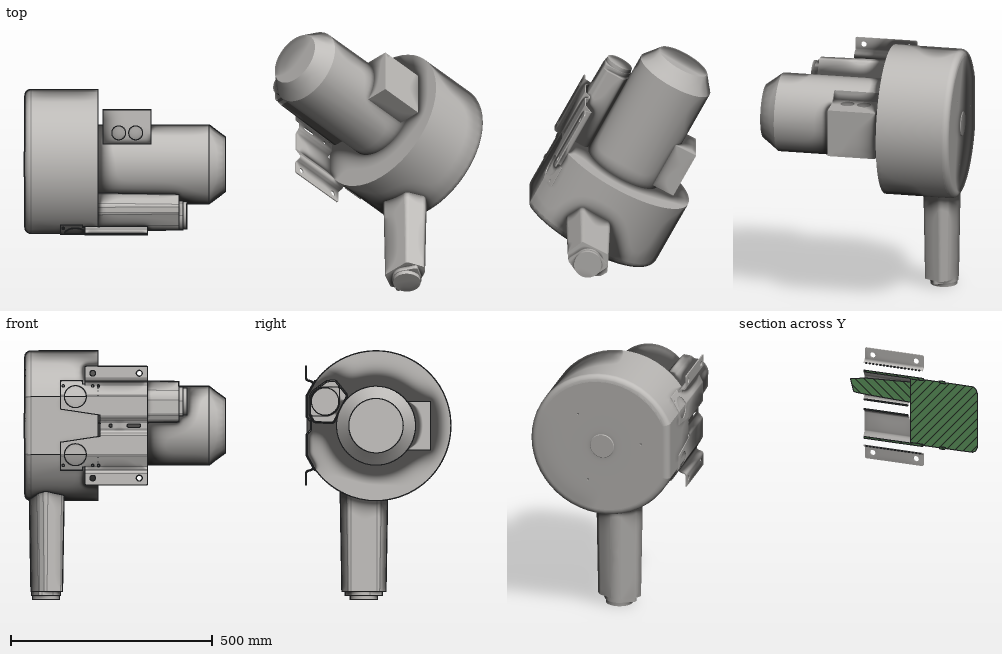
import cadquery as cq
import math


TOTAL_LENGTH = 500.0
TOTAL_DEPTH = 361.0
TOTAL_HEIGHT = 617.29

DRUM_R = 186.0
DRUM_LENGTH = 182.0
DRUM_FLAT_Y = -171.5
DRUM_EDGE_R = 16.0
FLAT_HALF_HEIGHT = math.sqrt(DRUM_R**2 - DRUM_FLAT_Y**2)

HUB_R = 31.0
HUB_HEIGHT = 2.0
HUB_EDGE = 1.5
SCREW_CIRCLE_R = 100.0
SCREW_FIRST_ANGLE = 51.5
SCREW_COUNT = 3
SCREW_HOLE_D = 6.0
SCREW_HOLE_DEPTH = 10.0

MOTOR_R = 98.0
MOTOR_END_X = TOTAL_LENGTH - HUB_HEIGHT
MOTOR_END_R = 67.5
MOTOR_TAPER_X = 457.5

BOX_X = 193.5
BOX_LENGTH = 120.0
BOX_Y = 50.5
BOX_WIDTH = 85.0
BOX_HALF_HEIGHT = 60.0
GLAND_D = 34.5
GLAND_DEPTH = 2.0
GLAND_FIRST_X = 233.0
GLAND_PITCH = 42.0
GLAND_COUNT = 2
GLAND_Y = 78.0

SHEET = 3.0
PLATE_STANDOFF = 2.0
PLATE_OUTER_Y = DRUM_FLAT_Y - PLATE_STANDOFF
PLATE_START_X = 89.0
PLATE_END_X = 305.0
FLANGE_START_X = 149.0
FLANGE_OUTER_Y = DRUM_R - TOTAL_DEPTH
FLANGE_TIP_Z = 147.5
FLANGE_CORNER_R = 4.0
LEG_OUTER_Z = 113.5
LEG_INNER_Z = 107.5
SLOPE_TIP_Y = -151.5
SLOPE_TIP_Z = 110.0
SHEET_BEND_R = 6.5
RELIEF_START_X = 143.0
RELIEF_Z = 103.0
RELIEF_DEPTH = 20.0
WEDGE_START_HALF = 41.0
WEDGE_END_HALF = 27.0
CHANNEL_START_X = 187.0
CHANNEL_MOUTH_HALF = 21.5
CHANNEL_DEPTH = 11.0
CHANNEL_FLOOR_HALF = CHANNEL_MOUTH_HALF - CHANNEL_DEPTH

PANEL_Y = PLATE_OUTER_Y + SHEET / 2
FLANGE_Y = FLANGE_OUTER_Y + SHEET / 2
SLOPE_BEND = (PANEL_Y, FLAT_HALF_HEIGHT + SHEET / 2)
SLOPE_TIP = (SLOPE_TIP_Y, SLOPE_TIP_Z)

PORT_D = 54.5
PORT_X = 125.5
FLANGE_HOLE_D = 14.0
FLANGE_HOLE_XS = (168.5, 284.0)
FLANGE_HOLE_Z = 130.0
PLATE_HOLE_D = 6.0
PLATE_HOLE_XS = (95.5, 168.5, 183.0)
PLATE_HOLE_Z = 98.5
CHANNEL_HOLE_D = 8.0
CHANNEL_HOLE_X = 213.0
SLOT_LENGTH = 34.0
SLOT_X = 270.5
PLATE_CUT_DEPTH = 60.0

SILENCER_TAPER = 1.0
NOSE_TIP = (-41.0, 0.0)
SHOULDER = (-17.5, 45.6)
SIDE = (-1.0, 56.0)
BACK = (41.3, 37.0)
NOSE_R = 28.0
SILENCER_CORNER_R = 8.0
COLLAR_LENGTH = 10.0
PIPE_R = 34.0
PIPE_LENGTH = 10.0

COLLAR_SIZE = 72.0
COLLAR_TURN = 27.0
COLLAR_BIG_R = 35.0
COLLAR_SMALL_R = 6.0

DOWN_X = 52.6
DOWN_Y = -30.0
DOWN_END_Z = DRUM_R - TOTAL_HEIGHT + COLLAR_LENGTH + PIPE_LENGTH
DOWN_INNER_Z = -100.0
REAR_END_X = 382.0
REAR_Y = -126.4
REAR_Z = 60.0
REAR_TILT = COLLAR_TURN


def drum():
    """Round drum with a flat on the -Y side and a rounded front edge."""
    blank = cq.Workplane("YZ").circle(DRUM_R).extrude(DRUM_LENGTH)
    waste = (
        cq.Workplane("XY")
        .box(DRUM_LENGTH, DRUM_R, 2 * DRUM_R, centered=(False, False, True))
        .translate((0, DRUM_FLAT_Y - DRUM_R, 0))
    )
    body = blank.cut(waste).faces("<X").edges().fillet(DRUM_EDGE_R)
    hub = cq.Workplane("YZ").circle(HUB_R).extrude(-HUB_HEIGHT).faces("<X").edges().chamfer(HUB_EDGE)
    screws = (
        cq.Workplane("YZ")
        .polarArray(SCREW_CIRCLE_R, SCREW_FIRST_ANGLE, 360, SCREW_COUNT)
        .circle(SCREW_HOLE_D / 2)
        .extrude(SCREW_HOLE_DEPTH)
    )
    return body.union(hub).cut(screws)


def motor():
    """Motor cylinder ending in a cone."""
    return (
        cq.Workplane("XY")
        .moveTo(DRUM_LENGTH, 0)
        .lineTo(DRUM_LENGTH, MOTOR_R)
        .lineTo(MOTOR_TAPER_X, MOTOR_R)
        .lineTo(MOTOR_END_X, MOTOR_END_R)
        .lineTo(MOTOR_END_X, 0)
        .close()
        .revolve(360, (0, 0, 0), (1, 0, 0))
    )


def box_block(bottom_z, top_z):
    """Block over the terminal box's footprint."""
    footprint = cq.Workplane("XY", origin=(BOX_X, BOX_Y, bottom_z))
    return footprint.rect(BOX_LENGTH, BOX_WIDTH, centered=False).extrude(top_z - bottom_z)


def gland_recesses():
    """Shallow round cable-gland recesses in the top of the terminal box."""
    centres = [(GLAND_FIRST_X + i * GLAND_PITCH, GLAND_Y) for i in range(GLAND_COUNT)]
    top = cq.Workplane("XY", origin=(0, 0, BOX_HALF_HEIGHT))
    return top.pushPoints(centres).circle(GLAND_D / 2).extrude(-GLAND_DEPTH)


def make_housing():
    """Drum, motor and terminal box; the motor is cleared above the box's level top."""
    clearance = box_block(BOX_HALF_HEIGHT, MOTOR_R)
    box = box_block(-BOX_HALF_HEIGHT, BOX_HALF_HEIGHT)
    return drum().union(motor().cut(clearance)).union(box).cut(gland_recesses())


def point_on_slope(z):
    """Point of the sloped panel's mid-surface at height z."""
    share = (z - SLOPE_BEND[1]) / (SLOPE_TIP[1] - SLOPE_BEND[1])
    return (SLOPE_BEND[0] + share * (SLOPE_TIP[0] - SLOPE_BEND[0]), z)


def sheet_strip(points, start_x, end_x):
    """Bent sheet with rounded bends along (y, z) mid-surface corners."""
    corners = [cq.Vector(start_x, y, z) for y, z in points]
    mid_line = cq.Wire.makePolygon(corners).fillet(SHEET_BEND_R)
    outline = mid_line.offset2D(SHEET / 2)[0]
    return cq.Workplane(cq.Solid.extrudeLinear(outline, [], cq.Vector(end_x - start_x, 0, 0)))


def mirrored(half):
    """The given +Z half of a mid-surface, continued to its mirror image."""
    return [(y, -z) for y, z in reversed(half)] + half


def plate_sketch(x=0.0):
    """Workplane in front of the plate, with sketch axes X and Z."""
    return cq.Workplane("XZ", origin=(x, FLANGE_OUTER_Y - SHEET, 0))


def through_plate(sketch):
    """Prism of a plate sketch, running towards +Y through the whole plate."""
    return sketch.extrude(-PLATE_CUT_DEPTH)


def bent_sheet():
    """Channel, panels, slopes and flanges, with two tongues reaching over the drum."""
    channel = [(PANEL_Y + CHANNEL_DEPTH, CHANNEL_FLOOR_HALF), (PANEL_Y, CHANNEL_MOUTH_HALF)]
    flange = [
        point_on_slope(LEG_INNER_Z),
        (FLANGE_Y, LEG_OUTER_Z),
        (FLANGE_Y, FLANGE_TIP_Z + SHEET),
    ]
    length = PLATE_END_X - FLANGE_START_X
    rounded_limit = through_plate(
        plate_sketch(FLANGE_START_X + length / 2).rect(length, 2 * FLANGE_TIP_Z)
    )
    rounded_limit = rounded_limit.edges("|Y").fillet(FLANGE_CORNER_R)
    full_profile = mirrored(channel + [SLOPE_BEND] + flange)
    sheet = sheet_strip(full_profile, FLANGE_START_X, PLATE_END_X).intersect(rounded_limit)
    tongues = sheet_strip(mirrored([SLOPE_BEND, SLOPE_TIP]), PLATE_START_X, FLANGE_START_X)
    return sheet.union(tongues)


def wedge():
    """Tapered opening between the tongues, ending in a slit ahead of the channel."""
    half = [
        (PLATE_START_X, WEDGE_START_HALF),
        (DRUM_LENGTH, WEDGE_END_HALF),
        (CHANNEL_START_X, WEDGE_END_HALF),
    ]
    lower = [(x, -z) for x, z in reversed(half)]
    return through_plate(plate_sketch().polyline(half + lower).close())


def bend_reliefs():
    """Notches that free the tongues from the bent flange legs."""
    width = FLANGE_START_X - RELIEF_START_X
    centres = [(0, side * (RELIEF_Z + RELIEF_DEPTH / 2)) for side in (1, -1)]
    sketch = plate_sketch(RELIEF_START_X + width / 2).pushPoints(centres)
    return through_plate(sketch.rect(width, RELIEF_DEPTH))


def plate_holes():
    """Ports, fixing holes, and the round hole and slot of the channel."""
    cuts = through_plate(plate_sketch(SLOT_X).slot2D(SLOT_LENGTH, CHANNEL_HOLE_D))
    patterns = [
        (CHANNEL_HOLE_D, [(CHANNEL_HOLE_X, 0)]),
        (PORT_D, [(PORT_X, side * FLAT_HALF_HEIGHT) for side in (1, -1)]),
        (FLANGE_HOLE_D, [(x, side * FLANGE_HOLE_Z) for x in FLANGE_HOLE_XS for side in (1, -1)]),
        (PLATE_HOLE_D, [(x, side * PLATE_HOLE_Z) for x in PLATE_HOLE_XS for side in (1, -1)]),
    ]
    for diameter, centres in patterns:
        cuts = cuts.union(through_plate(plate_sketch().pushPoints(centres).circle(diameter / 2)))
    return cuts


def make_mounting_plate():
    """Mounting plate: one bent sheet with its cutouts and holes."""
    return bent_sheet().cut(wedge()).cut(bend_reliefs()).cut(plate_holes())


def silencer_body(length):
    """Tapered body, narrowest at Z = 0, of a section symmetric about local X."""
    half = [SHOULDER, SIDE, BACK]
    other_half = [(x, -y) for x, y in reversed(half)]
    section = cq.Sketch().polygon([NOSE_TIP] + half + other_half + [NOSE_TIP])
    section = section.vertices("not <X").fillet(SILENCER_CORNER_R).reset()
    section = section.vertices("<X").fillet(NOSE_R).reset()
    return cq.Workplane("XY").placeSketch(section).extrude(length, taper=-SILENCER_TAPER)


def silencer_collar():
    """Square collar below Z = 0, with well-rounded corners next to the body's nose and back."""
    section = cq.Sketch().rect(COLLAR_SIZE, COLLAR_SIZE)
    section = section.vertices(">(1, 1, 0) or <(1, 1, 0)").fillet(COLLAR_SMALL_R).reset()
    section = section.vertices(">(1, -1, 0) or <(1, -1, 0)").fillet(COLLAR_BIG_R).reset()
    collar = cq.Workplane("XY").placeSketch(section).extrude(-COLLAR_LENGTH)
    return collar.rotate((0, 0, 0), (0, 0, 1), COLLAR_TURN)


def make_silencer(length):
    """Silencer body above Z = 0, with its collar and pipe end below."""
    pipe = cq.Workplane("XY").circle(PIPE_R).extrude(-COLLAR_LENGTH - PIPE_LENGTH)
    return silencer_body(length).union(silencer_collar()).union(pipe)


def make_down_silencer():
    """Silencer hanging below the drum, its body running up into the drum's surface."""
    silencer = make_silencer(DOWN_INNER_Z - DOWN_END_Z)
    return silencer.translate((DOWN_X, DOWN_Y, DOWN_END_Z))


def make_rear_silencer():
    """Opposite-hand silencer laid along X beside the motor, its nose turned up from -Y."""
    silencer = make_silencer(REAR_END_X - DRUM_LENGTH).mirror("XZ")
    turned = silencer.rotate((0, 0, 0), (0, 0, 1), 90 + REAR_TILT)
    laid = turned.rotate((0, 0, 0), (0, 1, 0), -90)
    return laid.translate((REAR_END_X, REAR_Y, REAR_Z))


mounting_plate = make_mounting_plate()
housing = make_housing().cut(mounting_plate)
down_silencer = make_down_silencer().cut(housing)
rear_silencer = make_rear_silencer().cut(housing)

result = cq.Compound.makeCompound([
    housing.val(),
    mounting_plate.val(),
    down_silencer.val(),
    rear_silencer.val(),
])